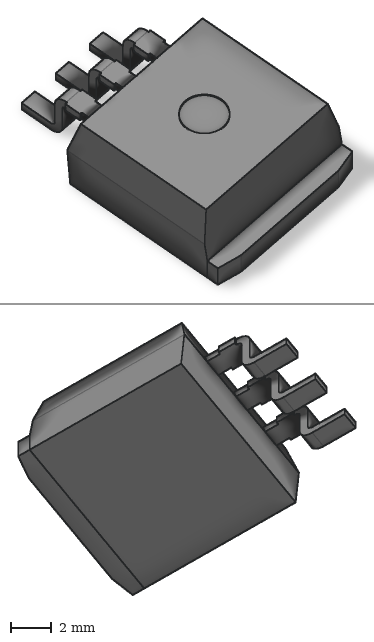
import cadquery as cq

TOTAL_LENGTH = 15.0
WIDTH = 10.0
HEIGHT = 4.42

LEAD_COUNT = 3
LEAD_PITCH = 2.54
LEAD_WIDTH = 0.99
LEAD_THICKNESS = 0.5
LEAD_RISER_X = 2.19
LEAD_INNER_RADIUS = 0.25
LEAD_OUTER_RADIUS = LEAD_INNER_RADIUS + LEAD_THICKNESS
COLLAR_START_X = 3.0
COLLAR_LENGTH = 0.98
COLLAR_WIDTH = 1.25

PARTING_Z = 2.45
HOUSING_FRONT_X = 4.75
FOOT_INSET = 0.2
TOP_INSET = 0.48
TOP_BACK_X = 13.5
HOUSING_BACK_X = 14.01
MARK_DIAMETER = 2.5
MARK_DEPTH = 0.08

TAB_HEIGHT = 1.28
TAB_TAPER_LENGTH = 0.3
TAB_TAPER_WIDTH = 1.38

TOP_FRONT_X = HOUSING_FRONT_X + TOP_INSET
LEAD_TOP_Z = PARTING_Z + LEAD_THICKNESS
FRONT_SLOPE = TOP_INSET / (HEIGHT - PARTING_Z)


def make_housing():
    """Molded housing with sloped ends, sloped upper sides and a shallow round mark."""
    side_profile = [
        (HOUSING_FRONT_X + FOOT_INSET, 0),
        (HOUSING_BACK_X, 0),
        (HOUSING_BACK_X, TAB_HEIGHT),
        (TOP_BACK_X, HEIGHT),
        (TOP_FRONT_X, HEIGHT),
        (HOUSING_FRONT_X, PARTING_Z),
    ]
    long_block = cq.Workplane("XZ").polyline(side_profile).close().extrude(WIDTH / 2, both=True)

    half_width = WIDTH / 2
    top_half_width = half_width - TOP_INSET
    end_profile = [
        (-half_width, 0),
        (half_width, 0),
        (half_width, PARTING_Z),
        (top_half_width, HEIGHT),
        (-top_half_width, HEIGHT),
        (-half_width, PARTING_Z),
    ]
    cross_block = cq.Workplane("YZ").polyline(end_profile).close().extrude(TOTAL_LENGTH)

    mark = (
        cq.Workplane("XY", origin=((TOP_FRONT_X + TOP_BACK_X) / 2, 0, HEIGHT - MARK_DEPTH))
        .circle(MARK_DIAMETER / 2)
        .extrude(MARK_DEPTH)
    )
    return long_block.intersect(cross_block).cut(mark)


def make_tab():
    """Metal tab against the back of the housing, with tapered outer corners."""
    half_width = WIDTH / 2
    taper_start_x = TOTAL_LENGTH - TAB_TAPER_LENGTH
    end_half_width = half_width - TAB_TAPER_WIDTH
    outline = [
        (HOUSING_BACK_X, -half_width),
        (taper_start_x, -half_width),
        (TOTAL_LENGTH, -end_half_width),
        (TOTAL_LENGTH, end_half_width),
        (taper_start_x, half_width),
        (HOUSING_BACK_X, half_width),
    ]
    return cq.Workplane("XY").polyline(outline).close().extrude(TAB_HEIGHT)


def make_lead(center_y):
    """Bent lead with a wider collar, ending flush on the sloped front of the housing."""
    riser_back_x = LEAD_RISER_X + LEAD_THICKNESS
    lead_end_top_x = HOUSING_FRONT_X + FRONT_SLOPE * LEAD_THICKNESS
    strip = (
        cq.Workplane("XZ", origin=(0, center_y, 0))
        .moveTo(0, 0)
        .lineTo(riser_back_x - LEAD_OUTER_RADIUS, 0)
        .radiusArc((riser_back_x, LEAD_OUTER_RADIUS), -LEAD_OUTER_RADIUS)
        .lineTo(riser_back_x, PARTING_Z - LEAD_INNER_RADIUS)
        .radiusArc((riser_back_x + LEAD_INNER_RADIUS, PARTING_Z), LEAD_INNER_RADIUS)
        .lineTo(HOUSING_FRONT_X, PARTING_Z)
        .lineTo(lead_end_top_x, LEAD_TOP_Z)
        .lineTo(LEAD_RISER_X + LEAD_OUTER_RADIUS, LEAD_TOP_Z)
        .radiusArc((LEAD_RISER_X, LEAD_TOP_Z - LEAD_OUTER_RADIUS), -LEAD_OUTER_RADIUS)
        .lineTo(LEAD_RISER_X, LEAD_THICKNESS + LEAD_INNER_RADIUS)
        .radiusArc((LEAD_RISER_X - LEAD_INNER_RADIUS, LEAD_THICKNESS), LEAD_INNER_RADIUS)
        .lineTo(0, LEAD_THICKNESS)
        .close()
        .extrude(LEAD_WIDTH / 2, both=True)
    )
    collar = cq.Workplane("XY", origin=(COLLAR_START_X, center_y, PARTING_Z)).box(
        COLLAR_LENGTH, COLLAR_WIDTH, LEAD_THICKNESS, centered=(False, True, False)
    )
    return strip.union(collar)


housing = make_housing()
tab = make_tab()
leads = []
for index in range(LEAD_COUNT):
    lead_y = (index - (LEAD_COUNT - 1) / 2) * LEAD_PITCH
    leads.append(make_lead(lead_y))

result = cq.Compound.makeCompound([housing.val(), tab.val(), *[lead.val() for lead in leads]])